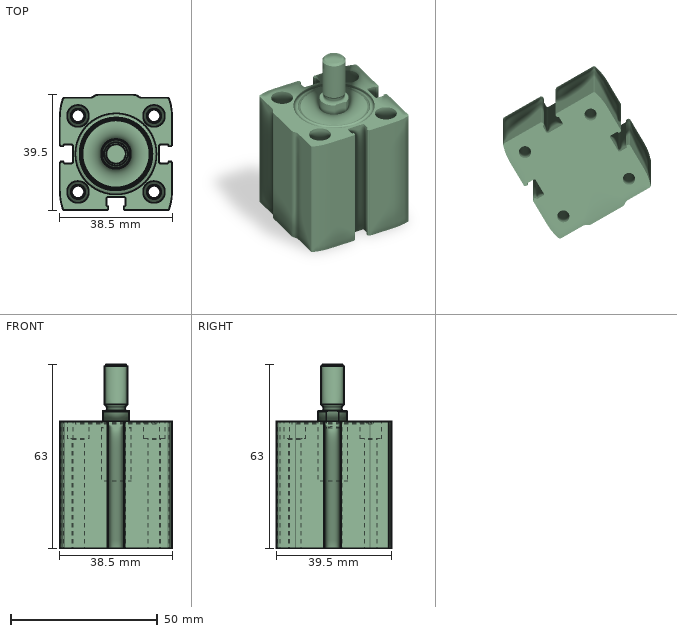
import cadquery as cq
import math

HOUSING_HEIGHT = 43.5
HOUSING_WIDTH = 38.5
HALF_WIDTH = HOUSING_WIDTH / 2
SIDE_FLAT_HALF = 12.8
CORNER_X = 18.1
CORNER_FILLET = 0.6

PAD_HEIGHT = 1.0
PAD_TOP_HALF = 6.2
PAD_BASE_HALF = 8.95

SLOT_DEPTH = 4.5
SLOT_HALF = 3.2
LIP_THICKNESS = 1.25
MOUTH_HALF = 2.6
LIP_FILLET = 0.4
CHAMBER_FILLET = 0.5

HOLE_SPACING = 26.0
HOLE_DIAMETER = 4.15
COUNTERBORE_DIAMETER = 7.5
COUNTERBORE_DEPTH = 5.7
COUNTERSINK_DIAMETER = 5.0

RECESS_DIAMETER = 27.8
RECESS_DEPTH = 0.8
RIM_DIAMETER = 25.0
RIM_LAND = 0.1
CAP_DIAMETER = 22.95
CAP_DROP = 0.25
CAP_TOP = HOUSING_HEIGHT - CAP_DROP
GROOVE_DEPTH = 0.25
GROOVE_WALL_RUN = 0.25
ROD_HOLE_CHAMFER = 0.1

TOTAL_HEIGHT = 63.0
ROD_DIAMETER = 10.0
ROD_RADIUS = ROD_DIAMETER / 2
ROD_INSERTION = 2 * ROD_DIAMETER
ROD_BOTTOM = CAP_TOP - ROD_INSERTION
COLLAR_TOP = 47.05
COLLAR_CHAMFER = 0.2

ACROSS_FLATS = 9.0
FLAT_DEPTH = 1.9
FLAT_BOTTOM = CAP_TOP - FLAT_DEPTH

THREAD_DIAMETER = 8.0
THREAD_START = 49.3
NECK_DIAMETER = 6.4
NECK_FILLET = 0.55
TIP_CHAMFER = 0.7


def revolve_about_z(points):
    """Solid of revolution about Z from (radius, z) points."""
    return cq.Workplane("XZ").polyline(points).close().revolve(360, (0, 0, 0), (0, 1, 0))


def housing_blank():
    """Extruded profile with curved side ends, rounded corners and the raised back pad."""
    bulge = HALF_WIDTH - CORNER_X
    run = HALF_WIDTH - SIDE_FLAT_HALF
    side_radius = (run**2 + bulge**2) / (2 * bulge)
    pad_top_y = HALF_WIDTH + PAD_HEIGHT
    blend_x = (PAD_BASE_HALF + PAD_TOP_HALF) / 2
    blend_y = HALF_WIDTH + PAD_HEIGHT / 2
    blank = (
        cq.Workplane("XY")
        .moveTo(-CORNER_X, -HALF_WIDTH)
        .lineTo(CORNER_X, -HALF_WIDTH)
        .radiusArc((HALF_WIDTH, -SIDE_FLAT_HALF), -side_radius)
        .lineTo(HALF_WIDTH, SIDE_FLAT_HALF)
        .radiusArc((CORNER_X, HALF_WIDTH), -side_radius)
        .lineTo(PAD_BASE_HALF, HALF_WIDTH)
        .tangentArcPoint((blend_x, blend_y), relative=False)
        .tangentArcPoint((PAD_TOP_HALF, pad_top_y), relative=False)
        .lineTo(-PAD_TOP_HALF, pad_top_y)
        .tangentArcPoint((-blend_x, blend_y), relative=False)
        .tangentArcPoint((-PAD_BASE_HALF, HALF_WIDTH), relative=False)
        .lineTo(-CORNER_X, HALF_WIDTH)
        .radiusArc((-HALF_WIDTH, SIDE_FLAT_HALF), -side_radius)
        .lineTo(-HALF_WIDTH, -SIDE_FLAT_HALF)
        .radiusArc((-CORNER_X, -HALF_WIDTH), -side_radius)
        .close()
        .extrude(HOUSING_HEIGHT)
    )
    mid_z = HOUSING_HEIGHT / 2
    for x in (-CORNER_X, CORNER_X):
        for y in (-HALF_WIDTH, HALF_WIDTH):
            corner = cq.selectors.NearestToPointSelector((x, y, mid_z))
            blank = blank.edges("|Z").edges(corner).fillet(CORNER_FILLET)
    return blank


def t_slot():
    """Cutter for a T-slot in the front (-Y) face, flaring out over the rounded lips."""
    front_y = -HALF_WIDTH
    floor_y = front_y + SLOT_DEPTH
    lip_y = front_y + LIP_THICKNESS
    chamber = (
        cq.Workplane("XY")
        .center(0, (floor_y + lip_y) / 2)
        .rect(2 * SLOT_HALF, floor_y - lip_y)
        .extrude(HOUSING_HEIGHT)
        .edges("|Z")
        .fillet(CHAMBER_FILLET)
    )
    mouth = (
        cq.Workplane("XY")
        .moveTo(-MOUTH_HALF, floor_y)
        .lineTo(-MOUTH_HALF, front_y + LIP_FILLET)
        .radiusArc((-MOUTH_HALF - LIP_FILLET, front_y), -LIP_FILLET)
        .lineTo(MOUTH_HALF + LIP_FILLET, front_y)
        .radiusArc((MOUTH_HALF, front_y + LIP_FILLET), -LIP_FILLET)
        .lineTo(MOUTH_HALF, floor_y)
        .close()
        .extrude(HOUSING_HEIGHT)
    )
    return chamber.union(mouth)


def mounting_hole():
    """Cutter for one mounting hole on the Z axis."""
    hole_r = HOLE_DIAMETER / 2
    sink_r = COUNTERSINK_DIAMETER / 2
    bore_r = COUNTERBORE_DIAMETER / 2
    floor_z = HOUSING_HEIGHT - COUNTERBORE_DEPTH
    return revolve_about_z([
        (0, 0),
        (hole_r, 0),
        (hole_r, floor_z - (sink_r - hole_r)),
        (sink_r, floor_z),
        (bore_r, floor_z),
        (bore_r, HOUSING_HEIGHT),
        (0, HOUSING_HEIGHT),
    ])


def cap_recess():
    """Ring cut with a vertical outer wall and a rim that rises inward to the top face."""
    recess_r = RECESS_DIAMETER / 2
    return revolve_about_z([
        (RIM_DIAMETER / 2, HOUSING_HEIGHT),
        (recess_r, HOUSING_HEIGHT - RECESS_DEPTH),
        (recess_r, HOUSING_HEIGHT),
    ])


def cap_face():
    """Shallow dish that lowers the cap, with a sloped-wall ring groove around it."""
    outer_r = RIM_DIAMETER / 2 - RIM_LAND
    inner_r = CAP_DIAMETER / 2
    floor_z = CAP_TOP - GROOVE_DEPTH
    return revolve_about_z([
        (0, CAP_TOP),
        (inner_r, CAP_TOP),
        (inner_r + GROOVE_WALL_RUN, floor_z),
        (outer_r - GROOVE_WALL_RUN, floor_z),
        (outer_r, HOUSING_HEIGHT),
        (0, HOUSING_HEIGHT),
    ])


def rod_hole():
    """Blind hole that holds the rod, chamfered at the cap face."""
    return revolve_about_z([
        (0, ROD_BOTTOM),
        (ROD_RADIUS, ROD_BOTTOM),
        (ROD_RADIUS, CAP_TOP - ROD_HOLE_CHAMFER),
        (ROD_RADIUS + ROD_HOLE_CHAMFER, CAP_TOP),
        (0, CAP_TOP),
    ])


def build_housing():
    body = housing_blank()
    for angle in (-90, 0, 90):
        body = body.cut(t_slot().rotate((0, 0, 0), (0, 0, 1), angle))
    for x in (-HOLE_SPACING / 2, HOLE_SPACING / 2):
        for y in (-HOLE_SPACING / 2, HOLE_SPACING / 2):
            body = body.cut(mounting_hole().translate((x, y, 0)))
    return body.cut(cap_recess()).cut(cap_face()).cut(rod_hole())


def rod_blank():
    """Turned rod: shank, collar, necked relief and thread with a chamfered tip."""
    thread_r = THREAD_DIAMETER / 2
    neck_r = NECK_DIAMETER / 2
    fillet_rise = NECK_FILLET * math.sin(math.radians(45))
    fillet_widening = NECK_FILLET - fillet_rise
    cone_foot_r = neck_r + fillet_widening
    cone_foot_z = THREAD_START - (thread_r - cone_foot_r)
    return (
        cq.Workplane("XZ")
        .moveTo(0, ROD_BOTTOM)
        .lineTo(ROD_RADIUS, ROD_BOTTOM)
        .lineTo(ROD_RADIUS, COLLAR_TOP - COLLAR_CHAMFER)
        .lineTo(ROD_RADIUS - COLLAR_CHAMFER, COLLAR_TOP)
        .lineTo(neck_r + NECK_FILLET, COLLAR_TOP)
        .radiusArc((neck_r, COLLAR_TOP + NECK_FILLET), NECK_FILLET)
        .lineTo(neck_r, cone_foot_z - fillet_rise)
        .radiusArc((cone_foot_r, cone_foot_z), NECK_FILLET)
        .lineTo(thread_r, THREAD_START)
        .lineTo(thread_r, TOTAL_HEIGHT - TIP_CHAMFER)
        .lineTo(thread_r - TIP_CHAMFER, TOTAL_HEIGHT)
        .lineTo(0, TOTAL_HEIGHT)
        .close()
        .revolve(360, (0, 0, 0), (0, 1, 0))
    )


def wrench_flats():
    """Cutter that leaves two flats facing -X and +X above a conical shoulder."""
    half_flats = ACROSS_FLATS / 2
    height = COLLAR_TOP - FLAT_BOTTOM
    shoulder_z = FLAT_BOTTOM + ROD_RADIUS - half_flats
    base = cq.Workplane("XY").workplane(offset=FLAT_BOTTOM)
    around = base.circle(ROD_DIAMETER).extrude(height)
    kept_slab = base.rect(ACROSS_FLATS, 2 * ROD_DIAMETER).extrude(height)
    shoulder = revolve_about_z([
        (0, FLAT_BOTTOM),
        (ROD_RADIUS, FLAT_BOTTOM),
        (half_flats, shoulder_z),
        (0, shoulder_z),
    ])
    return around.cut(kept_slab).cut(shoulder)


def build_rod():
    return rod_blank().cut(wrench_flats())


housing = build_housing()
rod = build_rod()
result = cq.Compound.makeCompound([housing.val(), rod.val()])